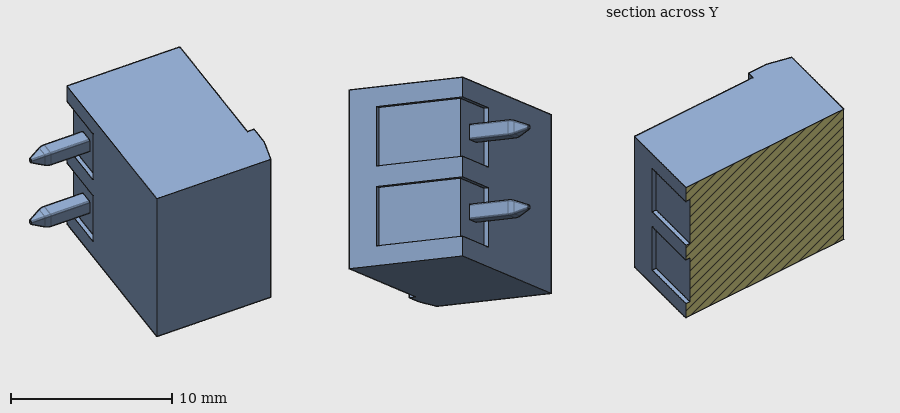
import cadquery as cq
import math


length = 12.0
height = 11.36
main_depth = 7.92

ridge_length = 3.0
ridge_rise = 0.47
ridge_flat = 1.38
ridge_drop = 0.4

contact_count = 2
pitch = 5.08
contact_x = 2.0

recess_height = 3.77
recess_depth = 0.3
recess_span_x = 3.48
recess_span_y = 6.0

pin_width = 1.0
pin_projection = 3.59
pin_edge_radius = 0.1
tip_width = 0.26
tip_length = 0.98
shoulder_radius = 1.08


def make_housing():
    """Block with the latching ridge, extruded over the full height."""
    ridge_start = length - ridge_length
    ridge_top = main_depth + ridge_rise
    outline = [
        (0, 0),
        (length, 0),
        (length, ridge_top - ridge_drop),
        (ridge_start + ridge_flat, ridge_top),
        (ridge_start, ridge_top),
        (ridge_start, main_depth),
        (0, main_depth),
    ]
    return cq.Workplane("XY").polyline(outline).close().extrude(height / 2, both=True)


def make_recess():
    """Shallow L-shaped cut around the corner, centred on Z = 0."""
    outline = [
        (0, 0),
        (recess_span_x, 0),
        (recess_span_x, recess_depth),
        (recess_depth, recess_depth),
        (recess_depth, recess_span_y),
        (0, recess_span_y),
    ]
    return cq.Workplane("XY").polyline(outline).close().extrude(recess_height / 2, both=True)


def pin_slab(plane):
    """Pin side profile on the given plane, extruded to the pin width both ways."""
    half_width = pin_width / 2
    half_tip = tip_width / 2
    taper_angle = math.atan2(half_width - half_tip, tip_length)
    tip_y = -pin_projection

    arc_start_y = tip_y + tip_length + shoulder_radius * math.tan(taper_angle / 2)

    def arc_point(angle):
        inset = shoulder_radius * (1 - math.cos(angle))
        return half_width - inset, arc_start_y - shoulder_radius * math.sin(angle)

    def mirrored(point):
        return -point[0], point[1]

    arc_start = arc_point(0)
    arc_middle = arc_point(taper_angle / 2)
    arc_end = arc_point(taper_angle)
    return (
        cq.Workplane(plane)
        .moveTo(half_width, recess_depth)
        .lineTo(*arc_start)
        .threePointArc(arc_middle, arc_end)
        .lineTo(half_tip, tip_y)
        .lineTo(-half_tip, tip_y)
        .lineTo(*mirrored(arc_end))
        .threePointArc(mirrored(arc_middle), mirrored(arc_start))
        .lineTo(-half_width, recess_depth)
        .close()
        .extrude(half_width, both=True)
    )


def make_pin():
    """Square pin pointing along -Y, tapered on all four sides, with rounded long edges."""
    side_plane = cq.Plane(origin=(0, 0, 0), xDir=(0, 0, -1), normal=(1, 0, 0))
    pin = pin_slab("XY").intersect(pin_slab(side_plane))
    long_edges = pin.edges("not #Y")
    return long_edges.fillet(pin_edge_radius).translate((contact_x, 0, 0))


result = make_housing()
for index in range(contact_count):
    contact_z = (index - (contact_count - 1) / 2) * pitch
    offset = (0, 0, contact_z)
    result = result.cut(make_recess().translate(offset))
    result = result.union(make_pin().translate(offset))